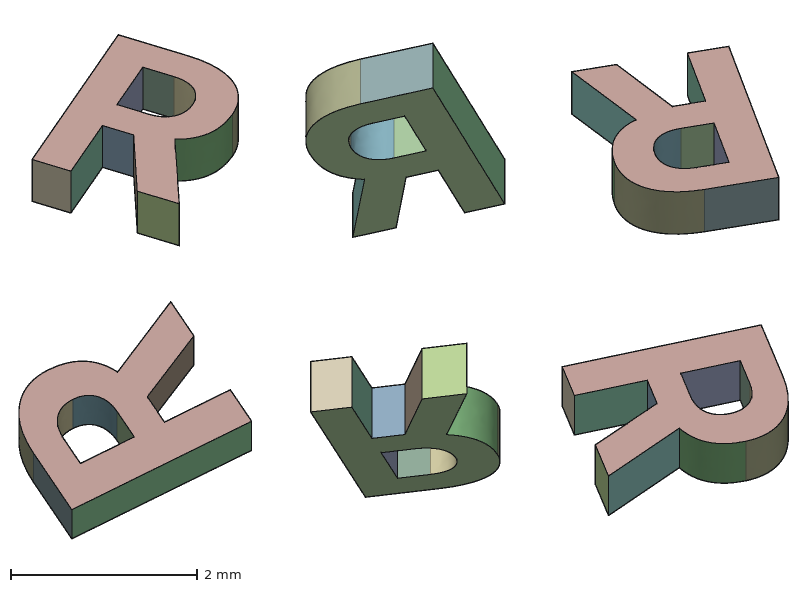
import cadquery as cq

height = 2.23
width = 1.74
thickness = 0.6

stem_width = 0.46
crotch_x = 0.827
crotch_y = 0.816
leg_foot_x = 1.242
leg_join = (1.258, 0.937)

curve_start_x = 0.825
bowl_right = (1.652, 1.565)
lower_bowl_pull = (bowl_right[0], 1.26)
leg_join_pull = (1.523, 1.048)
counter_bottom = 1.19
counter_top = 1.858
counter_right = (1.198, (counter_bottom + counter_top) / 2)

roundness = 0.62


def quarter_round(start, corner, end):
    """Bezier points for a quarter curve tangent to both sides of a corner."""

    def toward_corner(point):
        return tuple(p + roundness * (c - p) for p, c in zip(point, corner))

    return [start, toward_corner(start), toward_corner(end), end]


def letter_body():
    bowl_top = (curve_start_x, height)
    top_corner = (bowl_right[0], height)
    lower_bowl = [bowl_right, lower_bowl_pull, leg_join_pull, leg_join]
    return (
        cq.Workplane("XY")
        .moveTo(0, 0)
        .lineTo(0, height)
        .lineTo(*bowl_top)
        .bezier(quarter_round(bowl_top, top_corner, bowl_right))
        .bezier(lower_bowl)
        .lineTo(width, 0)
        .lineTo(leg_foot_x, 0)
        .lineTo(crotch_x, crotch_y)
        .lineTo(stem_width, crotch_y)
        .lineTo(stem_width, 0)
        .close()
        .extrude(thickness)
    )


def counter_opening():
    upper = (curve_start_x, counter_top)
    lower = (curve_start_x, counter_bottom)
    upper_corner = (counter_right[0], counter_top)
    lower_corner = (counter_right[0], counter_bottom)
    return (
        cq.Workplane("XY")
        .moveTo(stem_width, counter_bottom)
        .lineTo(stem_width, counter_top)
        .lineTo(*upper)
        .bezier(quarter_round(upper, upper_corner, counter_right))
        .bezier(quarter_round(counter_right, lower_corner, lower))
        .close()
        .extrude(thickness)
    )


result = letter_body().cut(counter_opening())